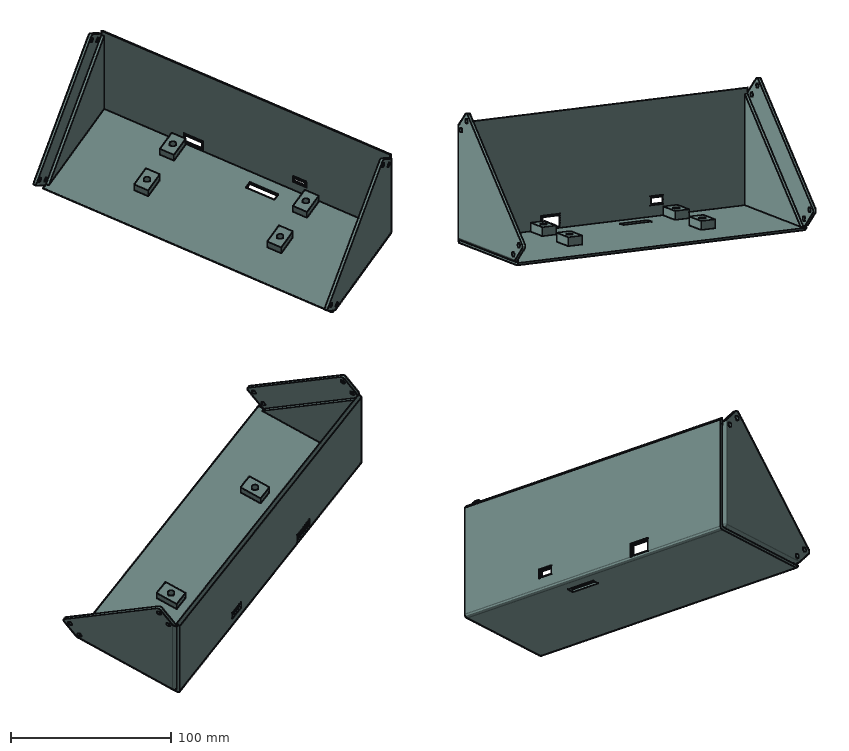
import cadquery as cq
import math


sheet = 2.0
length = 210.0
overall_depth = 85.43
bend_radius = 2.0
end_bend_radius = 1.99
panel_length = length - 2 * sheet
panel_reach = 75.0

end_inner_x = panel_length / 2

tab_corner_radius = 2.0
tip_height = overall_depth + tab_corner_radius * (math.sqrt(2) - 1)
tip_depth = 10.0 * math.sqrt(2)
tab_edge_rise = tip_height - tip_depth
liner_reach = panel_reach - sheet

tab_hole_diameter = 3.0
tab_hole_margin = 4.0
tab_hole_spacing = 10.0

block_length_x = 10.0
block_length_y = 15.0
block_height = 5.7
block_hole_diameter = 4.2
block_spacing_x = 95.0
block_spacing_y = 33.0
block_center_x = -0.05
block_rear_depth = 10.0

large_window = {"left": -43.5, "bottom": 3.0, "width": 12.0, "height": 7.0}
small_window = {"left": 34.2, "bottom": 10.0, "width": 8.0, "height": 4.0}
window_lip = 0.7
recess_margin = 1.0
floor_slot = {"left": 7.2, "rear_depth": 9.5, "width": 20.3, "depth": 5.0}


def plate(outline, start_x, thickness):
    """Extrude a (depth, height) outline along +X from start_x."""
    points = [(-depth, height) for depth, height in outline]
    return cq.Workplane("YZ", origin=(start_x, 0, 0)).polyline(points).close().extrude(thickness)


def make_panel():
    """Floor and back as one L-shaped bent sheet with bevelled free edges."""
    bevel_end = panel_reach + sheet
    outline = [
        (0, 0),
        (panel_reach, 0),
        (bevel_end, sheet),
        (sheet, sheet),
        (sheet, bevel_end),
        (0, panel_reach),
    ]
    panel = plate(outline, -panel_length / 2, panel_length)
    bend_edge = cq.selectors.NearestToPointSelector((0, 0, 0))
    return panel.edges(bend_edge).fillet(bend_radius)


def make_outer_plate():
    """Right-hand outer plate with rounded tabs and rounded rear and lower edges."""
    outline = [
        (sheet, sheet),
        (sheet + tab_edge_rise, sheet),
        (tip_height, tip_depth),
        (tip_depth, tip_height),
        (sheet, sheet + tab_edge_rise),
    ]
    outer = plate(outline, end_inner_x, sheet)
    middle_x = end_inner_x + sheet / 2
    for depth, height in [(tip_height, tip_depth), (tip_depth, tip_height)]:
        tip = cq.selectors.NearestToPointSelector((middle_x, -depth, height))
        outer = outer.edges(tip).fillet(tab_corner_radius)

    edge_x = end_inner_x + sheet
    edge_middle = sheet + tab_edge_rise / 2
    rear_edge = cq.selectors.NearestToPointSelector((edge_x, -sheet, edge_middle))
    lower_edge = cq.selectors.NearestToPointSelector((edge_x, -edge_middle, sheet))
    corner_edge = cq.selectors.NearestToPointSelector((middle_x, -sheet, sheet))
    bends = outer.edges(rear_edge).add(outer.edges(lower_edge)).add(outer.edges(corner_edge))
    return bends.fillet(end_bend_radius)


def tab_drills():
    """Cutters for the two holes in each tab, running parallel to the tab edge."""
    tip_hole_height = tip_height - tab_hole_margin * math.sqrt(2)
    step = tab_hole_spacing / math.sqrt(2)
    upper_holes = [(tip_depth, tip_hole_height), (tip_depth - step, tip_hole_height - step)]
    holes = upper_holes + [(height, depth) for depth, height in upper_holes]
    return (
        cq.Workplane("YZ", origin=(end_inner_x, 0, 0))
        .pushPoints([(-depth, height) for depth, height in holes])
        .circle(tab_hole_diameter / 2)
        .extrude(sheet)
    )


def make_end():
    """Right-hand end: the drilled outer plate lined by a smaller triangular plate."""
    liner_outline = [(sheet, sheet), (liner_reach, sheet), (sheet, liner_reach)]
    liner = plate(liner_outline, end_inner_x - sheet, sheet)
    return make_outer_plate().cut(tab_drills()).union(liner)


def make_blocks():
    """Four mounting blocks, each with a hole down to the floor."""
    center_depth = block_rear_depth + block_spacing_y / 2
    return (
        cq.Workplane("XY", origin=(block_center_x, -center_depth, sheet))
        .rarray(block_spacing_x, block_spacing_y, 2, 2)
        .rect(block_length_x, block_length_y)
        .rarray(block_spacing_x, block_spacing_y, 2, 2)
        .circle(block_hole_diameter / 2)
        .extrude(block_height)
    )


def back_window(left, bottom, width, height):
    """Cutter for a window in the back, recessed from behind to leave a thin lip."""
    recess_depth = sheet - window_lip
    opening = cq.Workplane("XY").box(width, sheet, height, centered=False)
    opening = opening.translate((left, -sheet, bottom))
    recess_width = width + 2 * recess_margin
    recess_height = height + 2 * recess_margin
    recess = cq.Workplane("XY").box(recess_width, recess_depth, recess_height, centered=False)
    recess = recess.translate((left - recess_margin, -recess_depth, bottom - recess_margin))
    return opening.union(recess)


def floor_opening(left, rear_depth, width, depth):
    """Cutter for a rectangular slot through the floor."""
    cutter = cq.Workplane("XY").box(width, depth, sheet, centered=False)
    return cutter.translate((left, -rear_depth - depth, 0))


panel = make_panel()
for window in (large_window, small_window):
    panel = panel.cut(back_window(**window))
panel = panel.cut(floor_opening(**floor_slot))

right_end = make_end()
left_end = right_end.mirror("YZ")
result = panel.union(right_end).union(left_end).union(make_blocks())